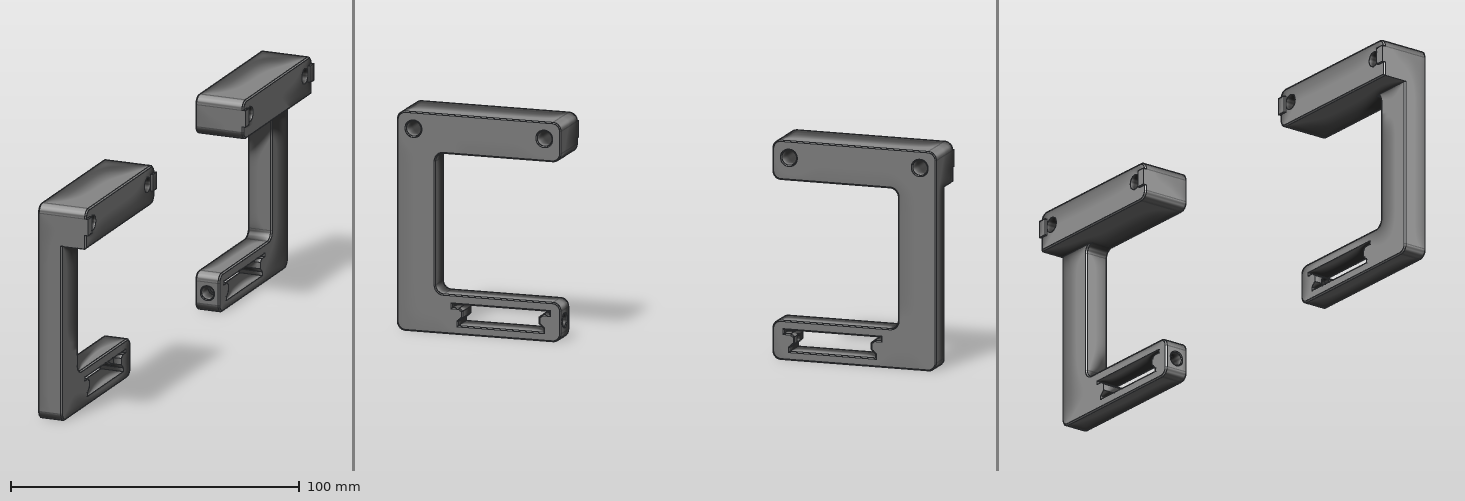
import cadquery as cq

overall_width = 197.74
bracket_height = 77.91
bracket_width = 60.0
outer_y = overall_width / 2
inner_end_y = outer_y - bracket_width

band_width = 14.0
frame_depth = 9.0
upper_arm_depth = 18.0
corner_radius = 3.0
edge_chamfer = 0.5
face_chamfer = 0.4
upper_arm_bottom = bracket_height - band_width

tab_depth = 0.8
tab_width = 3.3
tab_height = 6.0

screw_hole_diameter = 5.4
screw_hole_inset = 6.0

slot_center_y = inner_end_y + 22.0
slot_floor = 3.15
slot_roof = 10.7
slot_roof_half_width = 17.8
slot_neck_half_width = 14.0
slot_floor_half_width = 15.7
roof_lip_bottom = 9.4
neck_top = 8.4
neck_bottom = 6.1
floor_lip_top = 4.5
roof_lip_step = 2.5

clamp_hole_diameter = 3.2
clamp_insert_diameter = 4.7
clamp_insert_depth = 6.0
clamp_mouth_diameter = 5.4


def block(y_start, y_end, z_start, z_end, x_start, x_end):
    """Rectangular block between the given limits."""
    return cq.Workplane("XY").box(
        x_end - x_start, y_end - y_start, z_end - z_start, centered=False
    ).translate((x_start, y_start, z_start))


def frame():
    """C-shaped plate with rounded corners and chamfered +X edges."""
    plate = block(inner_end_y, outer_y, 0, bracket_height, 0, frame_depth)
    opening = block(
        inner_end_y, outer_y - band_width, band_width, upper_arm_bottom, 0, frame_depth
    )
    return plate.cut(opening).edges("|X").fillet(corner_radius).faces(">X").chamfer(edge_chamfer)


def upper_arm():
    """Deep rounded bar that thickens the upper arm towards +X."""
    bar = block(inner_end_y, outer_y, upper_arm_bottom, bracket_height, 0, upper_arm_depth)
    rounded = bar.edges("|X and (>Z or <Y)").fillet(corner_radius)
    return rounded.faces(">X").chamfer(edge_chamfer)


def locating_tabs():
    """Thin pads at both ends of the upper arm, just below the rounded top corners."""
    tab_top = bracket_height - corner_radius
    tabs = cq.Workplane("XY")
    for y_start in (inner_end_y, outer_y - tab_width):
        tabs = tabs.add(block(
            y_start, y_start + tab_width, tab_top - tab_height, tab_top,
            upper_arm_depth - edge_chamfer, upper_arm_depth + tab_depth,
        ))
    return tabs.combine()


def screw_holes():
    """Round cutters through the full depth of the upper arm."""
    hole_z = bracket_height - screw_hole_inset
    centers = [(inner_end_y + screw_hole_inset, hole_z), (outer_y - screw_hole_inset, hole_z)]
    return (
        cq.Workplane("YZ").pushPoints(centers).circle(screw_hole_diameter / 2)
        .extrude(upper_arm_depth + tab_depth)
    )


def profiled_slot():
    """Slot cutter: wide under the roof, necked in the middle, wider again at the floor."""
    half_profile = [
        (slot_floor_half_width, slot_floor),
        (slot_floor_half_width, floor_lip_top),
        (slot_neck_half_width, neck_bottom),
        (slot_neck_half_width, neck_top),
        (slot_roof_half_width - roof_lip_step, roof_lip_bottom),
        (slot_roof_half_width, roof_lip_bottom),
        (slot_roof_half_width, slot_roof),
    ]
    right_side = [(slot_center_y + y, z) for y, z in half_profile]
    left_side = [(slot_center_y - y, z) for y, z in reversed(half_profile)]
    return cq.Workplane("YZ").polyline(right_side + left_side).close().extrude(frame_depth)


def clamp_hole():
    """Stepped screw cutter with a chamfered mouth, from the arm end to the slot centre."""
    hole_center = (frame_depth / 2, inner_end_y, band_width / 2)
    plane = cq.Plane(origin=hole_center, xDir=(1, 0, 0), normal=(0, 1, 0))
    shank = cq.Workplane(plane).circle(clamp_hole_diameter / 2).extrude(slot_center_y - inner_end_y)
    insert = cq.Workplane(plane).circle(clamp_insert_diameter / 2).extrude(clamp_insert_depth)
    mouth_depth = (clamp_mouth_diameter - clamp_insert_diameter) / 2
    mouth = (
        cq.Workplane(plane).circle(clamp_mouth_diameter / 2)
        .workplane(offset=mouth_depth).circle(clamp_insert_diameter / 2).loft(ruled=True)
    )
    return shank.union(insert).union(mouth)


def bracket():
    """Complete bracket on the +Y side."""
    body = frame().union(upper_arm()).union(locating_tabs())
    body = body.cut(screw_holes()).cut(profiled_slot())
    return body.faces("<X").chamfer(face_chamfer).cut(clamp_hole())


far_bracket = bracket()
near_bracket = far_bracket.mirror("XZ")

result = cq.Compound.makeCompound([far_bracket.val(), near_bracket.val()])